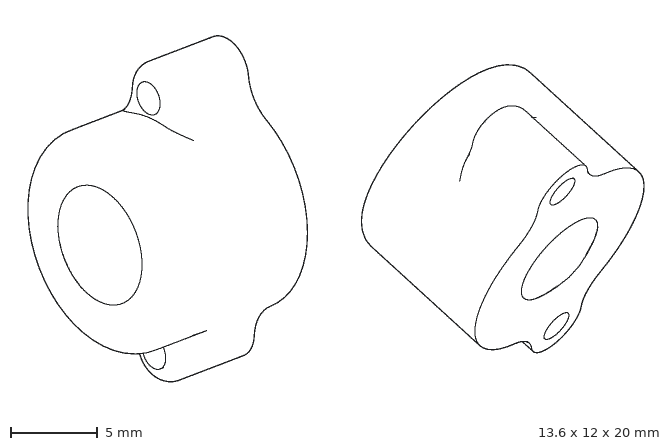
import cadquery as cq
import math

ball_radius = 6.02
housing_radius = 6.8
housing_front = -4.82
housing_back = 5.18
edge_round = 1.0

ear_radius = 2.0
ear_hole_radius = 1.0
ear_hole_height = 8.0
ear_hole_shift = 0.24
ear_length = 6.0
ear_blend = 3.0

ear_offset = math.hypot(ear_hole_shift, ear_hole_height)
ear_tilt = math.degrees(math.atan2(ear_hole_shift, ear_hole_height))


def back_sketch_plane():
    """Plane on the back face, extruding towards the front."""
    return cq.Workplane("XZ", origin=(0, housing_back, 0))


def make_ball():
    return cq.Workplane("XY").sphere(ball_radius)


def make_ear():
    """Upper ear blended tangentially into the housing, before its hole is cut."""
    housing_reach = housing_radius + ear_blend
    ear_reach = ear_radius + ear_blend
    blend_z = (housing_reach**2 - ear_reach**2 + ear_offset**2) / (2 * ear_offset)
    blend_x = math.sqrt(housing_reach**2 - blend_z**2)

    foot_x = blend_x * housing_radius / housing_reach
    foot_z = blend_z * housing_radius / housing_reach
    neck_x = blend_x * ear_radius / ear_reach
    neck_z = ear_offset + (blend_z - ear_offset) * ear_radius / ear_reach

    foot_angle = math.atan2(foot_z - blend_z, foot_x - blend_x) % (2 * math.pi)
    neck_angle = math.atan2(neck_z - blend_z, neck_x - blend_x) % (2 * math.pi)
    middle_angle = (foot_angle + neck_angle) / 2
    middle_x = blend_x + ear_blend * math.cos(middle_angle)
    middle_z = blend_z + ear_blend * math.sin(middle_angle)

    ear = (
        back_sketch_plane()
        .lineTo(foot_x, foot_z)
        .threePointArc((middle_x, middle_z), (neck_x, neck_z))
        .threePointArc((0, ear_offset + ear_radius), (-neck_x, neck_z))
        .threePointArc((-middle_x, middle_z), (-foot_x, foot_z))
        .close()
        .extrude(ear_length)
    )
    return ear.faces("<Y").edges("%CIRCLE").fillet(edge_round)


def make_ear_hole():
    return back_sketch_plane().center(0, ear_offset).circle(ear_hole_radius).extrude(ear_length)


def place_at_angle(shape, angle):
    return shape.rotate((0, 0, 0), (0, 1, 0), angle)


def make_housing(ball):
    housing = back_sketch_plane().circle(housing_radius).extrude(housing_back - housing_front)
    housing = housing.faces("<Y").edges().fillet(edge_round)
    ear = make_ear()
    ear_hole = make_ear_hole()
    for half_turn in (0, 180):
        angle = half_turn - ear_tilt
        housing = housing.union(place_at_angle(ear, angle))
        housing = housing.cut(place_at_angle(ear_hole, angle))
    return housing.cut(ball)


ball = make_ball()
housing = make_housing(ball)

result = cq.Compound.makeCompound([housing.val(), ball.val()])